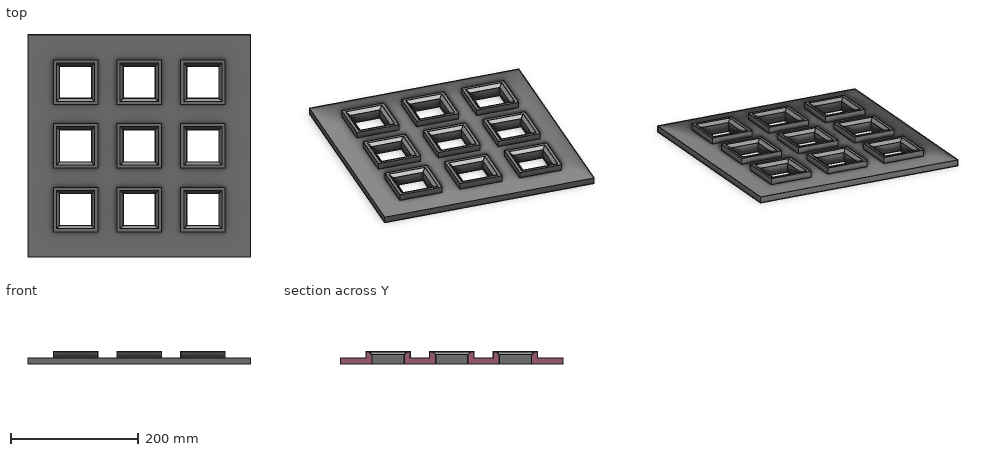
import cadquery as cq

total_height = 20.0
plate_side = 350.0
plate_thickness = total_height / 2

frame_height = total_height - plate_thickness
frame_side = 70.0
frames_per_side = 3
frame_pitch = 100.0

opening_side = 50.0
mouth_side = 60.2
flare_depth = (mouth_side - opening_side) / 2


def at_grid(workplane):
    """Place one point at the centre of every frame."""
    return workplane.rarray(frame_pitch, frame_pitch, frames_per_side, frames_per_side)


def make_plate():
    return cq.Workplane("XY").rect(plate_side, plate_side).extrude(plate_thickness)


def make_frames():
    top_of_plate = cq.Workplane("XY").workplane(offset=plate_thickness)
    return at_grid(top_of_plate).rect(frame_side, frame_side).extrude(frame_height)


def make_openings():
    return at_grid(cq.Workplane("XY")).rect(opening_side, opening_side).extrude(total_height)


def make_flares():
    """Tapered square cutters that widen from the opening to the mouth."""
    flare = (
        cq.Workplane("XY")
        .workplane(offset=total_height - flare_depth)
        .rect(opening_side, opening_side)
        .workplane(offset=flare_depth)
        .rect(mouth_side, mouth_side)
        .loft(ruled=True)
        .val()
    )
    return at_grid(cq.Workplane("XY")).eachpoint(flare)


result = make_plate().union(make_frames()).cut(make_openings()).cut(make_flares())